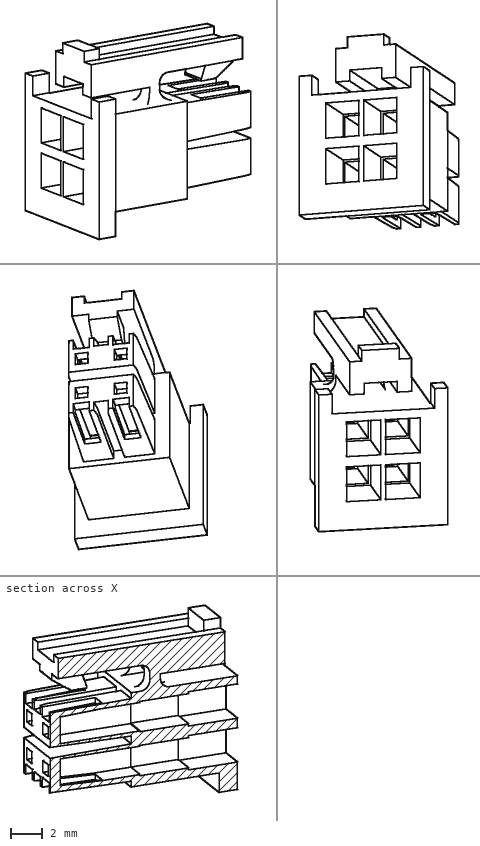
import cadquery as cq

FLANGE_WIDTH = 8.26
FLANGE_DEPTH = 1.27
POST_TOP_Z = 8.96
POST_INNER_X = 3.28
BODY_HALF_WIDTH = 3.23
BODY_BOTTOM_Z = 1.3
BODY_TOP_Z = 7.68
BODY_END_Y = 7.33
ROW_MID_Z = 4.49

TIP_Y = 12.93
TIP_CHAMFER_LENGTH = 0.5
TIP_CHAMFER_INSET = 0.12
CHAMFER_START_Y = TIP_Y - TIP_CHAMFER_LENGTH
TOWER_ROOT_HALF_WIDTH = 2.29
TOWER_END_HALF_WIDTH = 2.19
TOWER_ROOT_TOP = 2.79
TOWER_TIP_TOP = 2.7
TOWER_ROOT_BOTTOM = 0.25
TOWER_TIP_BOTTOM = 0.35

GROOVE_HALF_WIDTH = 0.35
GROOVE_FLOOR = 2.24
GROOVE_TIP_FLOOR = 2.1

WEB_END_Y = 9.89

ENTRY_X = (0.15, 2.35)
ENTRY_Z = (0.34, 2.61)
ENTRY_END_Y = 3.36
THROAT_X = (0.31, 2.25)
THROAT_Z = (0.48, 2.48)
THROAT_END_Y = 6.72
BORE_X = (0.52, 1.99)
BORE_FLOOR = 0.53
BORE_ROOT_ROOF = 2.4
BORE_END_ROOF = 2.29
BORE_END_Y = 12.2

CONTACT_X = (0.85, 1.65)
CONTACT_Z = (0.88, 1.67)
SLOT_X = (0.76, 1.8)
SLOT_FLOOR = 2.04
SLOT_START_Y = 9.3

LEVER_HALF_WIDTH = 1.99
LEVER_FRONT_Y = 0.85
LEVER_REAR_Y = 12.36
LEVER_TOP_Z = 10.77
LEVER_UNDERSIDE_Z = 9.37
CHANNEL_CEILING_Z = 9.31
THUMB_UNDERSIDE_Z = 8.61
CHANNEL_HALF_WIDTH = 1.06
RECESS_HALF_WIDTH = 1.2
RECESS_DEPTH = 0.52
TAB_TOP_Z = 11.47
TAB_REAR_Y = 2.02
NECK_FRONT_Y = 5.29
NECK_REAR_Y = 6.06
NECK_TOP_RADIUS = 0.6
NECK_FLARE_RADIUS = 0.62

HOOK_HALF_WIDTH = 0.92
HOOK_NOSE_Z = 8.96
HOOK_TIP_Z = 8.05
HOOK_TIP_REAR_Y = 11.03
HOOK_TIP_FRONT_Y = 9.95
HOOK_TIP_LAND = 0.14
HOOK_ROOT_FRONT_Y = 10.37


def block(x_range, y_range, z_range):
    """Box spanning three (low, high) ranges."""
    size = [high - low for low, high in (x_range, y_range, z_range)]
    corner = (x_range[0], y_range[0], z_range[0])
    return cq.Workplane("XY").box(*size, centered=False).translate(corner)


def centred_block(half_width, y_range, z_range):
    """Box centred on X = 0."""
    return block((-half_width, half_width), y_range, z_range)


def side_prism(points, half_width):
    """Prism with a (y, z) outline, centred on X = 0."""
    return cq.Workplane("YZ").polyline(points).close().extrude(half_width, both=True)


def mirrored_plan_prism(right_edge, z_range):
    """Prism whose (x, y) outline is a right-hand edge and its mirror image."""
    left_edge = [(-x, y) for x, y in reversed(right_edge)]
    prism = cq.Workplane("XY").polyline(right_edge + left_edge).close()
    return prism.extrude(z_range[1] - z_range[0]).translate((0, 0, z_range[0]))


def housing():
    """Body block behind the entry flange and its two corner posts."""
    flange = centred_block(FLANGE_WIDTH / 2, (0, FLANGE_DEPTH), (0, POST_TOP_Z))
    post_gap = centred_block(POST_INNER_X, (0, FLANGE_DEPTH), (BODY_TOP_Z, POST_TOP_Z))
    body = centred_block(BODY_HALF_WIDTH, (0, BODY_END_Y), (BODY_BOTTOM_Z, BODY_TOP_Z))
    return flange.cut(post_gap).union(body)


def upper_tower():
    """Tapered tower of the upper row, built about Z = 0."""
    plan = mirrored_plan_prism(
        [
            (TOWER_ROOT_HALF_WIDTH, BODY_END_Y),
            (TOWER_END_HALF_WIDTH, CHAMFER_START_Y),
            (TOWER_END_HALF_WIDTH - TIP_CHAMFER_INSET, TIP_Y),
        ],
        (0, TOWER_ROOT_TOP),
    )
    side = side_prism(
        [
            (BODY_END_Y, TOWER_ROOT_BOTTOM),
            (TIP_Y, TOWER_TIP_BOTTOM),
            (TIP_Y, TOWER_TIP_TOP),
            (BODY_END_Y, TOWER_ROOT_TOP),
        ],
        TOWER_ROOT_HALF_WIDTH,
    )
    groove_plan = mirrored_plan_prism(
        [
            (GROOVE_HALF_WIDTH, BODY_END_Y),
            (GROOVE_HALF_WIDTH, CHAMFER_START_Y),
            (GROOVE_HALF_WIDTH + TIP_CHAMFER_INSET, TIP_Y),
        ],
        (0, TOWER_ROOT_TOP),
    )
    groove_side = side_prism(
        [
            (BODY_END_Y, GROOVE_FLOOR),
            (CHAMFER_START_Y, GROOVE_FLOOR),
            (TIP_Y, GROOVE_TIP_FLOOR),
            (TIP_Y, TOWER_ROOT_TOP),
            (BODY_END_Y, TOWER_ROOT_TOP),
        ],
        TOWER_ROOT_HALF_WIDTH,
    )
    return plan.intersect(side).cut(groove_plan.intersect(groove_side))


def right_cavity():
    """Cavity, contact hole and slot of the right column in the upper row, built about Z = 0."""
    entry = block(ENTRY_X, (0, ENTRY_END_Y), ENTRY_Z)
    throat = block(THROAT_X, (ENTRY_END_Y, THROAT_END_Y), THROAT_Z)
    bore = (
        cq.Workplane("YZ", origin=(BORE_X[0], 0, 0))
        .moveTo(THROAT_END_Y, BORE_FLOOR)
        .lineTo(BORE_END_Y, BORE_FLOOR)
        .lineTo(BORE_END_Y, BORE_END_ROOF)
        .lineTo(SLOT_START_Y, BORE_ROOT_ROOF)
        .lineTo(THROAT_END_Y, BORE_ROOT_ROOF)
        .close()
        .extrude(BORE_X[1] - BORE_X[0])
    )
    contact_hole = block(CONTACT_X, (BORE_END_Y, TIP_Y), CONTACT_Z)
    slot = block(SLOT_X, (SLOT_START_Y, TIP_Y), (SLOT_FLOOR, TOWER_ROOT_TOP))
    return entry.union(throat).union(bore).union(contact_hole).union(slot)


def both_rows(upper):
    """Upper-row shape plus its lower-row mirror, moved to the row mid-plane."""
    return upper.union(upper.mirror("XY")).translate((0, 0, ROW_MID_Z))


def neck():
    """Lever post with a concave flare onto the body, mitred at its corners."""
    radius = NECK_FLARE_RADIUS

    def flared_outline(plane, low, high):
        flare_top = BODY_TOP_Z + radius
        diagonal = radius * (1 - 0.5**0.5)
        return (
            cq.Workplane(plane)
            .moveTo(low - radius, BODY_TOP_Z)
            .lineTo(high + radius, BODY_TOP_Z)
            .threePointArc((high + diagonal, BODY_TOP_Z + diagonal), (high, flare_top))
            .lineTo(high, LEVER_UNDERSIDE_Z)
            .lineTo(low, LEVER_UNDERSIDE_Z)
            .lineTo(low, flare_top)
            .threePointArc((low - diagonal, BODY_TOP_Z + diagonal), (low - radius, BODY_TOP_Z))
            .close()
        )

    lengthwise = flared_outline("YZ", NECK_FRONT_Y, NECK_REAR_Y).extrude(BODY_HALF_WIDTH, both=True)
    crosswise = flared_outline("XZ", -LEVER_HALF_WIDTH, LEVER_HALF_WIDTH).extrude(-BODY_END_Y)
    return lengthwise.intersect(crosswise)


def neck_top_fillet():
    """Concave fillet between the rear of the neck and the underside of the lever."""
    radius = NECK_TOP_RADIUS
    diagonal = radius * (1 - 0.5**0.5)
    return (
        cq.Workplane("YZ")
        .moveTo(NECK_REAR_Y, LEVER_UNDERSIDE_Z)
        .lineTo(NECK_REAR_Y, LEVER_UNDERSIDE_Z - radius)
        .threePointArc(
            (NECK_REAR_Y + diagonal, LEVER_UNDERSIDE_Z - diagonal),
            (NECK_REAR_Y + radius, LEVER_UNDERSIDE_Z),
        )
        .close()
        .extrude(LEVER_HALF_WIDTH, both=True)
    )


def lever():
    """Latch arm with its thumb end, neck, top recess, underside channel and hook."""
    arm = centred_block(LEVER_HALF_WIDTH, (LEVER_FRONT_Y, LEVER_REAR_Y), (LEVER_UNDERSIDE_Z, LEVER_TOP_Z))
    thumb_rest = centred_block(
        LEVER_HALF_WIDTH, (LEVER_FRONT_Y, NECK_REAR_Y), (THUMB_UNDERSIDE_Z, LEVER_UNDERSIDE_Z)
    )
    recess = centred_block(
        RECESS_HALF_WIDTH, (TAB_REAR_Y, LEVER_REAR_Y), (LEVER_TOP_Z - RECESS_DEPTH, LEVER_TOP_Z)
    )
    tab = centred_block(RECESS_HALF_WIDTH, (LEVER_FRONT_Y, TAB_REAR_Y), (LEVER_TOP_Z, TAB_TOP_Z))
    channel = centred_block(CHANNEL_HALF_WIDTH, (0, LEVER_REAR_Y), (BODY_TOP_Z, CHANNEL_CEILING_Z))
    hook = side_prism(
        [
            (LEVER_REAR_Y, LEVER_UNDERSIDE_Z),
            (LEVER_REAR_Y, HOOK_NOSE_Z),
            (HOOK_TIP_REAR_Y, HOOK_TIP_Z),
            (HOOK_TIP_FRONT_Y, HOOK_TIP_Z),
            (HOOK_TIP_FRONT_Y, HOOK_TIP_Z + HOOK_TIP_LAND),
            (HOOK_ROOT_FRONT_Y, LEVER_UNDERSIDE_Z),
        ],
        HOOK_HALF_WIDTH,
    )
    body = arm.union(thumb_rest).union(neck()).union(neck_top_fillet()).union(tab)
    return body.cut(recess).cut(channel).union(hook)


row_web = centred_block(
    GROOVE_HALF_WIDTH,
    (BODY_END_Y, WEB_END_Y),
    (ROW_MID_Z - TOWER_TIP_BOTTOM, ROW_MID_Z + TOWER_TIP_BOTTOM),
)
upper_cavities = right_cavity().union(right_cavity().mirror("YZ"))

result = housing().union(both_rows(upper_tower())).union(row_web).union(lever())
result = result.cut(both_rows(upper_cavities))